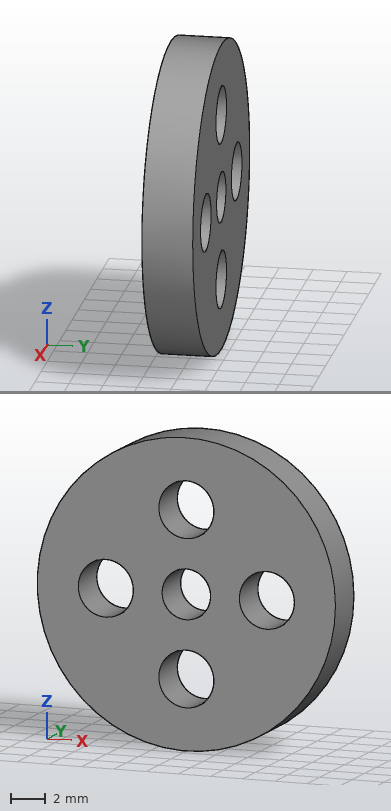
import cadquery as cq

disc_diameter = 18.5
disc_thickness = 3.0

center_hole_diameter = 3.0
outer_hole_diameter = 3.4
outer_hole_count = 4
hole_circle_radius = 5.0

disc = (
    cq.Workplane("XZ")
    .circle(disc_diameter / 2)
    .extrude(disc_thickness)
)

center_hole = (
    cq.Workplane("XZ")
    .circle(center_hole_diameter / 2)
    .extrude(disc_thickness)
)

outer_holes = (
    cq.Workplane("XZ")
    .polarArray(hole_circle_radius, 0, 360, outer_hole_count)
    .circle(outer_hole_diameter / 2)
    .extrude(disc_thickness)
)

result = disc.cut(center_hole).cut(outer_holes)